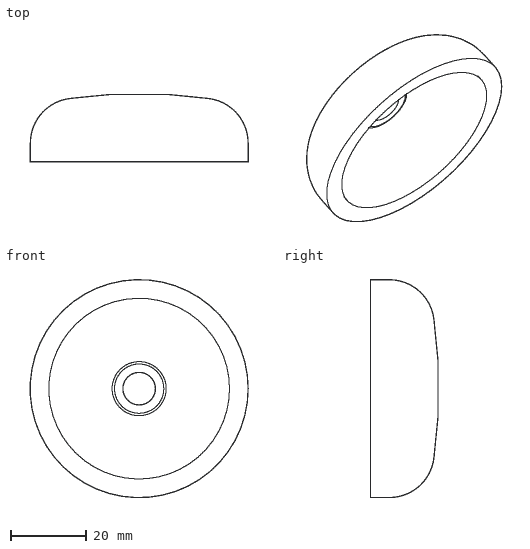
import cadquery as cq
import math

outer_radius = 29.0
total_depth = 18.0
wall = 5.0
rim_depth = 5.0
outer_corner_radius = 12.0
inner_corner_radius = outer_corner_radius - wall

hub_radius = 7.2
hub_face_radius = 6.55
hub_height = 0.25
bore_radius = 4.3

back_face_radius = 7.65

corner_center_radius = outer_radius - outer_corner_radius
back_run = corner_center_radius - back_face_radius
back_rise = total_depth - rim_depth
back_edge_distance = math.hypot(back_run, back_rise)
cone_angle = math.acos(outer_corner_radius / back_edge_distance) - math.atan2(back_run, back_rise)


def corner_point(radius, angle):
    """Point on a corner arc, with the angle measured from the Y direction."""
    return (
        corner_center_radius + radius * math.sin(angle),
        rim_depth + radius * math.cos(angle),
    )


arc_middle_angle = (cone_angle + math.pi / 2) / 2
inner_cone_start = corner_point(inner_corner_radius, cone_angle)
floor_at_hub = inner_cone_start[1] + (inner_cone_start[0] - hub_radius) * math.tan(cone_angle)
hub_face = floor_at_hub - hub_height

profile = (
    cq.Workplane("XY")
    .moveTo(outer_radius - wall, 0)
    .lineTo(outer_radius, 0)
    .lineTo(outer_radius, rim_depth)
    .threePointArc(
        corner_point(outer_corner_radius, arc_middle_angle),
        corner_point(outer_corner_radius, cone_angle),
    )
    .lineTo(back_face_radius, total_depth)
    .lineTo(bore_radius, total_depth)
    .lineTo(bore_radius, hub_face)
    .lineTo(hub_face_radius, hub_face)
    .lineTo(hub_radius, floor_at_hub)
    .lineTo(*inner_cone_start)
    .threePointArc(
        corner_point(inner_corner_radius, arc_middle_angle),
        (outer_radius - wall, rim_depth),
    )
    .close()
)

result = profile.revolve(360, (0, 0, 0), (0, 1, 0))